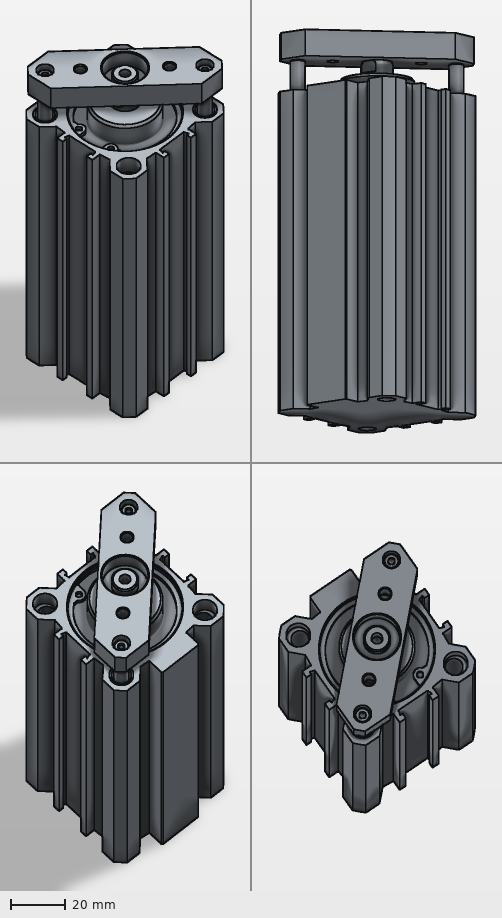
import cadquery as cq
import math

TOTAL_HEIGHT = 142.0
PLATE_THICKNESS = 10.0
PLATE_GAP = 12.2
PLATE_BOTTOM = TOTAL_HEIGHT - PLATE_THICKNESS
HOUSING_TOP = PLATE_BOTTOM - PLATE_GAP

HOUSING_HALF = 55.0 / 2
HOUSING_DEPTH = 58.0
CORNER_ROUNDING = 3.5
CORNER_EDGE = 17.8
WALL_OUTER = 23.0
WALL_INNER = 23.5
CORNER_ROOT = CORNER_EDGE - (HOUSING_HALF - WALL_OUTER)
LIP_OUTER = 8.8
LIP_INNER = 6.0
LIP_ROOT = 6.5
LIP_NECK = 7.1
LIP_HOOK_START = 25.3
PORT_WIDTH = 18.5
PORT_CHAMFER = 0.4
PORT_FACE = HOUSING_DEPTH - HOUSING_HALF

MOUNT_HOLE_PLACE = 20.5
MOUNT_HOLE_DIAMETER = 6.5
CORNER_BORE_PLACE = 20.9
CORNER_BORE_DIAMETER = 9.0
CORNER_BORE_DEPTH = 7.1
GUIDE_BORE_DIAMETER = 7.4
GUIDE_MOUTH_DEPTH = 0.3

BORE_DIAMETER = 42.2
BORE_CHAMFER = 0.4
RING_GROOVE_DIAMETER = 44.7
RING_DEPTH = 2.3
RING_THICKNESS = 1.5
RING_INNER_DIAMETER = 38.2
RING_EAR_RADIUS = 2.5
RING_EAR_SHOULDER = 1.5
RING_HOLE_DIAMETER = 2.4
RING_EAR_X = 8.0
RING_EAR_Y = -16.5
COLLAR_DIAMETER = 28.0
COLLAR_CHAMFER_HEIGHT = 1.1
COLLAR_CHAMFER_WIDTH = 0.9
COLLAR_ROOT_FILLET = 0.7
COLLAR_PROTRUSION = 5.7
COLLAR_TOP = HOUSING_TOP + COLLAR_PROTRUSION
COLLAR_FLANGE_THICKNESS = 8.5
RING_TOP = HOUSING_TOP - RING_DEPTH
RING_BOTTOM = RING_TOP - RING_THICKNESS
BORE_FLOOR = RING_BOTTOM - COLLAR_FLANGE_THICKNESS

ROD_DIAMETER = 11.9
ROD_CHAMFER_HEIGHT = 1.4
ROD_CHAMFER_WIDTH = 0.4
FLAT_HALF = 5.0
FLAT_LENGTH = 4.3
FLAT_BOTTOM = PLATE_BOTTOM - FLAT_LENGTH
SPIGOT_DIAMETER = 10.0
SPIGOT_CHAMFER = 0.5
SPIGOT_DEPTH = 2.8
SPIGOT_TOP = TOTAL_HEIGHT - SPIGOT_DEPTH
ROD_HOLE_DIAMETER = 4.1
ROD_HOLE_DEPTH = 7.1
DRILL_POINT_ANGLE = 118.0

PLATE_HALF = 26.8
PLATE_END_FLAT = 14.2
PLATE_CORNER_CHAMFER = 3.0
PLATE_BORE_DIAMETER = 17.0
PLATE_BORE_CHAMFER = 0.4
PLATE_BORE_DEPTH = 7.1
PLATE_BORE_FLOOR = TOTAL_HEIGHT - PLATE_BORE_DEPTH
TAPPED_PLACE = 11.6
TAPPED_DIAMETER = 4.1
TAPPED_MOUTH_DIAMETER = 5.0
GUIDE_PLACE = 20.9
GUIDE_DIAMETER = 5.5
GUIDE_CHAMFER = 0.4
GUIDE_BOTTOM = 59.6
SCREW_BORE_DIAMETER = 6.5
SCREW_HEAD_DIAMETER = 5.5
SCREW_HEAD_HEIGHT = 3.0
SCREW_HEAD_CHAMFER = 0.3
SCREW_HEAD_DEPTH = 2.3
SCREW_SHANK_DIAMETER = 3.0
SCREW_SHANK_LENGTH = 10.0
SCREW_SOCKET_DIAMETER = 2.5
SCREW_SOCKET_DEPTH = 1.4
SCREW_HEAD_TOP = TOTAL_HEIGHT - SCREW_HEAD_DEPTH
SCREW_HEAD_BOTTOM = SCREW_HEAD_TOP - SCREW_HEAD_HEIGHT
SCREW_BOTTOM = SCREW_HEAD_BOTTOM - SCREW_SHANK_LENGTH

MOUNT_CORNERS = [(-1, 1), (1, -1)]
GUIDE_CORNERS = [(-1, -1), (1, 1)]


def scaled(corners, place):
    """Points at `place` along X and Y in each of the given corners."""
    return [(place * sx, place * sy) for sx, sy in corners]


def cylinder(diameter, bottom, top, places=((0, 0),)):
    """Upright cylinders between two heights, one at each place."""
    base = cq.Workplane("XY", origin=(0, 0, bottom))
    return base.pushPoints(places).circle(diameter / 2).extrude(top - bottom)


def drilled_hole(diameter, bottom, top, place=(0, 0)):
    """Blind hole whose cylinder ends at `bottom`, with a drill point below."""
    tip = diameter / 2 / math.tan(math.radians(DRILL_POINT_ANGLE / 2))
    point = cq.Solid.makeCone(0, diameter / 2, tip, cq.Vector(*place, bottom - tip))
    return cylinder(diameter, bottom, top, [place]).union(cq.Workplane(point))


def chamfer_mouths(body, diameter, size, top, places=((0, 0),)):
    """Cuts a 45 degree chamfer around each hole mouth at height `top`."""
    radius = diameter / 2
    for x, y in places:
        cone = cq.Solid.makeCone(radius, radius + size, size, cq.Vector(x, y, top - size))
        body = body.cut(cq.Workplane(cone))
    return body


def top_chamfered(body, height, width):
    """Chamfers the top rim, `height` down the side and `width` across the top face."""
    return body.faces(">Z").chamfer(height, width)


def rotated(point, quarter_turns):
    """The point turned counterclockwise about the origin."""
    x, y = point
    for _ in range(quarter_turns):
        x, y = -y, x
    return x, y


def make_housing_profile():
    """Extruded square with three slotted sides and a port block along the fourth side, +Y."""
    edge = HOUSING_HALF - CORNER_ROUNDING
    plain_half = [
        (LIP_OUTER, -WALL_INNER),
        (CORNER_ROOT, -WALL_OUTER),
        (CORNER_EDGE, -HOUSING_HALF),
        (edge, -HOUSING_HALF),
    ]
    lip = [
        (LIP_ROOT, -WALL_INNER),
        (LIP_NECK, -LIP_HOOK_START),
        (LIP_INNER, -LIP_HOOK_START),
        (LIP_INNER, -HOUSING_HALF),
        (LIP_OUTER, -HOUSING_HALF),
    ]
    slotted_half = lip + plain_half
    corner_middle = math.hypot(edge, HOUSING_HALF) / math.sqrt(2)

    profile = cq.Workplane("XY").moveTo(-edge, -HOUSING_HALF)
    for turns, half in enumerate([slotted_half, slotted_half, plain_half, slotted_half]):
        mirrored = [(-x, y) for x, y in reversed(half)]
        for point in (mirrored + half)[1:]:
            profile = profile.lineTo(*rotated(point, turns))
        profile = profile.threePointArc(
            rotated((corner_middle, -corner_middle), turns),
            rotated((HOUSING_HALF, -edge), turns),
        )
    block = profile.close().extrude(HOUSING_TOP)
    port = (
        cq.Workplane("XY")
        .center(0, PORT_FACE / 2)
        .rect(PORT_WIDTH, PORT_FACE)
        .extrude(HOUSING_TOP)
        .edges("|Z and >Y")
        .chamfer(PORT_CHAMFER)
    )
    return block.union(port)


def make_housing():
    body = make_housing_profile()
    body = body.cut(cylinder(BORE_DIAMETER, BORE_FLOOR, HOUSING_TOP))
    body = chamfer_mouths(body, BORE_DIAMETER, BORE_CHAMFER, HOUSING_TOP)
    body = body.cut(cylinder(RING_GROOVE_DIAMETER, RING_BOTTOM, RING_TOP))
    body = body.cut(cylinder(ROD_DIAMETER, GUIDE_BOTTOM, BORE_FLOOR))
    mounts = scaled(MOUNT_CORNERS, MOUNT_HOLE_PLACE)
    body = body.cut(cylinder(MOUNT_HOLE_DIAMETER, 0, HOUSING_TOP, mounts))
    mount_bores = scaled(MOUNT_CORNERS, CORNER_BORE_PLACE)
    bore_floor = HOUSING_TOP - CORNER_BORE_DEPTH
    body = body.cut(cylinder(CORNER_BORE_DIAMETER, bore_floor, HOUSING_TOP, mount_bores))
    guides = scaled(GUIDE_CORNERS, GUIDE_PLACE)
    body = body.cut(cylinder(GUIDE_DIAMETER, GUIDE_BOTTOM, HOUSING_TOP, guides))
    body = body.cut(cylinder(GUIDE_BORE_DIAMETER, bore_floor, HOUSING_TOP, guides))
    mouth_floor = HOUSING_TOP - GUIDE_MOUTH_DEPTH
    return body.cut(cylinder(CORNER_BORE_DIAMETER, mouth_floor, HOUSING_TOP, guides))


def make_collar():
    flange = cylinder(BORE_DIAMETER, BORE_FLOOR, RING_BOTTOM)
    neck = cylinder(COLLAR_DIAMETER, BORE_FLOOR, COLLAR_TOP)
    neck = top_chamfered(neck, COLLAR_CHAMFER_HEIGHT, COLLAR_CHAMFER_WIDTH)
    collar = flange.union(neck)
    flange_top = collar.faces("|Z").faces(cq.selectors.NearestToPointSelector((0, 0, RING_BOTTOM)))
    root_edge = flange_top.edges(cq.selectors.RadiusNthSelector(0))
    collar = root_edge.fillet(COLLAR_ROOT_FILLET)
    return collar.cut(cylinder(ROD_DIAMETER, BORE_FLOOR, COLLAR_TOP))


def make_retaining_ring():
    outer_radius = RING_GROOVE_DIAMETER / 2
    ear_inner_x = RING_EAR_X - RING_EAR_RADIUS
    shoulder_y = RING_EAR_Y + RING_EAR_SHOULDER
    shoulder_x = math.sqrt((RING_INNER_DIAMETER / 2) ** 2 - shoulder_y**2)
    places = [(-RING_EAR_X, RING_EAR_Y), (RING_EAR_X, RING_EAR_Y)]

    outer = cylinder(RING_GROOVE_DIAMETER, RING_BOTTOM, RING_TOP)
    gap = (
        cq.Workplane("XY", origin=(0, 0, RING_BOTTOM))
        .center(0, -outer_radius)
        .rect(2 * ear_inner_x, RING_GROOVE_DIAMETER)
        .extrude(RING_THICKNESS)
    )
    ring = outer.cut(cylinder(RING_INNER_DIAMETER, RING_BOTTOM, RING_TOP)).cut(gap)
    ear_root = (
        cq.Workplane("XY", origin=(0, 0, RING_BOTTOM))
        .polyline([
            (ear_inner_x, -outer_radius),
            (ear_inner_x, RING_EAR_Y),
            (RING_EAR_X, RING_EAR_Y),
            (RING_EAR_X, shoulder_y),
            (shoulder_x, shoulder_y),
            (shoulder_x, -outer_radius),
        ])
        .close()
        .extrude(RING_THICKNESS)
        .intersect(outer)
    )
    ring = ring.union(ear_root).union(ear_root.mirror("YZ"))
    ring = ring.union(cylinder(2 * RING_EAR_RADIUS, RING_BOTTOM, RING_TOP, places))
    return ring.cut(cylinder(RING_HOLE_DIAMETER, RING_BOTTOM, RING_TOP, places))


def make_piston_rod():
    rod = cylinder(ROD_DIAMETER, GUIDE_BOTTOM, PLATE_BOTTOM)
    rod = top_chamfered(rod, ROD_CHAMFER_HEIGHT, ROD_CHAMFER_WIDTH)
    rod_radius = ROD_DIAMETER / 2
    flat_depth = rod_radius - FLAT_HALF
    for side in (-1, 1):
        flat = (
            cq.Workplane("YZ", origin=(-rod_radius, 0, 0))
            .polyline([
                (side * FLAT_HALF, PLATE_BOTTOM),
                (side * FLAT_HALF, FLAT_BOTTOM),
                (side * rod_radius, FLAT_BOTTOM - flat_depth),
                (side * rod_radius, PLATE_BOTTOM),
            ])
            .close()
            .extrude(ROD_DIAMETER)
        )
        rod = rod.cut(flat)
    spigot = cylinder(SPIGOT_DIAMETER, PLATE_BOTTOM, SPIGOT_TOP).faces(">Z").chamfer(SPIGOT_CHAMFER)
    rod = rod.union(spigot)
    return rod.cut(drilled_hole(ROD_HOLE_DIAMETER, SPIGOT_TOP - ROD_HOLE_DEPTH, SPIGOT_TOP))


def make_plate():
    end = [
        (-PLATE_HALF, -PLATE_HALF + PLATE_END_FLAT),
        (-PLATE_HALF, -PLATE_HALF + PLATE_CORNER_CHAMFER),
        (-PLATE_HALF + PLATE_CORNER_CHAMFER, -PLATE_HALF),
        (-PLATE_HALF + PLATE_END_FLAT, -PLATE_HALF),
    ]
    outline = end + [(-x, -y) for x, y in end]
    base = cq.Workplane("XY", origin=(0, 0, PLATE_BOTTOM))
    plate = base.polyline(outline).close().extrude(PLATE_THICKNESS)
    plate = plate.cut(cylinder(SPIGOT_DIAMETER, PLATE_BOTTOM, TOTAL_HEIGHT))
    plate = plate.cut(cylinder(PLATE_BORE_DIAMETER, PLATE_BORE_FLOOR, TOTAL_HEIGHT))
    plate = chamfer_mouths(plate, PLATE_BORE_DIAMETER, PLATE_BORE_CHAMFER, TOTAL_HEIGHT)
    tapped = scaled(GUIDE_CORNERS, TAPPED_PLACE)
    plate = plate.cut(cylinder(TAPPED_DIAMETER, PLATE_BOTTOM, TOTAL_HEIGHT, tapped))
    tapped_chamfer = (TAPPED_MOUTH_DIAMETER - TAPPED_DIAMETER) / 2
    plate = chamfer_mouths(plate, TAPPED_DIAMETER, tapped_chamfer, TOTAL_HEIGHT, tapped)
    guides = scaled(GUIDE_CORNERS, GUIDE_PLACE)
    plate = plate.cut(cylinder(SCREW_BORE_DIAMETER, SCREW_HEAD_BOTTOM, TOTAL_HEIGHT, guides))
    return plate.cut(cylinder(SCREW_SHANK_DIAMETER, PLATE_BOTTOM, TOTAL_HEIGHT, guides))


def make_guide_rod(place):
    rod = cylinder(GUIDE_DIAMETER, GUIDE_BOTTOM, PLATE_BOTTOM, [place]).faces(">Z").chamfer(GUIDE_CHAMFER)
    return rod.cut(cylinder(SCREW_SHANK_DIAMETER, SCREW_BOTTOM, PLATE_BOTTOM, [place]))


def make_screw(place):
    screw = cylinder(SCREW_SHANK_DIAMETER, SCREW_BOTTOM, SCREW_HEAD_BOTTOM, [place])
    head = cylinder(SCREW_HEAD_DIAMETER, SCREW_HEAD_BOTTOM, SCREW_HEAD_TOP, [place])
    screw = screw.union(head.faces(">Z").chamfer(SCREW_HEAD_CHAMFER))
    socket_bottom = SCREW_HEAD_TOP - SCREW_SOCKET_DEPTH
    return screw.cut(drilled_hole(SCREW_SOCKET_DIAMETER, socket_bottom, SCREW_HEAD_TOP, place))


housing = make_housing()
collar = make_collar()
retaining_ring = make_retaining_ring()
piston_rod = make_piston_rod()
plate = make_plate()
guide_places = scaled(GUIDE_CORNERS, GUIDE_PLACE)
guide_rods = [make_guide_rod(place).val() for place in guide_places]
screws = [make_screw(place).val() for place in guide_places]

result = cq.Compound.makeCompound(
    [housing.val(), collar.val(), retaining_ring.val(), piston_rod.val(), plate.val(), *guide_rods, *screws]
)